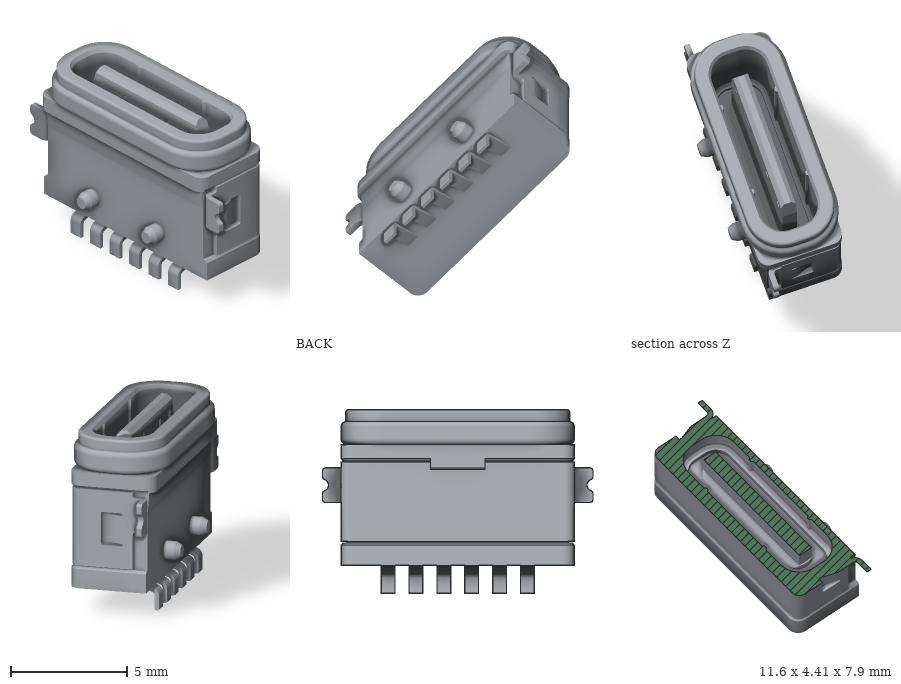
import cadquery as cq
import math

base_height = 0.97
flange_bottom = 4.48
flange_top = 5.19
nose_top = 6.69
pin_bottom = -1.21

block_half_width = 5.02
block_back = 1.91
block_front = -1.56
block_corner_radius = 0.5
block_edge_chamfer = 0.1

ring_half_width = 5.02
ring_half_depth = 2.13
ring_corner_radius = 1.79
ring_height = 1.0
ring_edge_radius = 0.25
ring_stand_out = 0.2
groove_depth = 0.06
nose_edge_radius = 0.12

shell_thickness = 0.25
shell_bottom = 1.02
shell_top = 4.45
shell_back = 1.84
shell_front = -0.97
shell_corner_radius = 0.41
notch_corner_radius = 0.12

tab_tip = 5.82
tab_front = -1.61
tab_height = 1.5
tab_middle = 3.45
tab_bend_radius = 0.14
tab_corner_radius = 0.14
tab_notch_radius = 0.26

window_front = -0.51
window_back = 0.47
window_bottom = 2.0
window_top = 3.5
window_corner_radius = 0.1
latch_hinge = -0.37
latch_free_edge = 0.29
latch_slot = 0.14
latch_set_in = 0.22

slope_top = -1.64
slope_bottom_height = 3.5
lug_half_width = 1.16
lug_bottom = 4.19
lug_slope_height = 0.07

mouth_half_width = 4.26
mouth_half_depth = 1.36
mouth_corner_radius = 1.08
mouth_chamfer_width = 0.1
mouth_chamfer_height = 0.17
wall_chamfer = 0.1
ledge_width = 0.1
ledge_height = 1.98
floor_height = 1.75

rib_spacing = 3.98
rib_base_width = 0.26
rib_crest_width = 0.14
rib_rise = 0.08

tongue_top = 6.63
tongue_half_width = 3.28
tongue_half_depth = 0.34
tongue_tip_half_depth = 0.14
tongue_edge_height = 0.21
tongue_tip_half_width = 3.03
tongue_end_height = 0.93
foot_half_width = 3.35
foot_half_depth = 0.6
foot_corner_radius = 0.5

opening_bottom = 5.67
recess_positions = (-2.72, -1.25)
recess_width = 0.26
recess_top = 6.05
recess_depth = 0.09
contact_top = 5.96
contact_set_back = 0.01
through_positions = (1.26, 2.68)
through_width = 0.3
through_top = 6.0

peg_spacing = 3.98
peg_height = 1.14
peg_radius = 0.41
peg_tip_radius = 0.27
peg_cone_start = -2.01
peg_tip = -2.28

pin_count = 6
pin_pitch = 1.2
pin_width = 0.6
pin_thickness = 0.19
pin_front = -1.63
pin_bend_height = -0.55
pin_bend_radius = 0.34
pin_slope_angle = 20.0
pin_tip_radius = 0.03
pin_embedment = 0.35

nose_half_width = ring_half_width - ring_stand_out
nose_half_depth = ring_half_depth - ring_stand_out
nose_corner_radius = ring_corner_radius - ring_stand_out
ring_inset = ring_stand_out + groove_depth
core_half_width = block_half_width - shell_thickness
core_back = shell_back - shell_thickness
wall_half_width = mouth_half_width - mouth_chamfer_width
wall_half_depth = mouth_half_depth - mouth_chamfer_width
wall_corner_radius = mouth_corner_radius - mouth_chamfer_width
lower_inset = wall_chamfer + ledge_width
mouth_taper = math.degrees(math.atan2(mouth_chamfer_width, mouth_chamfer_height))


def rounded_prism(half_width, half_depth, radius, bottom, top):
    """Upright rounded rectangle centred on the socket axis."""
    return (
        cq.Workplane("XY", origin=(0, 0, bottom))
        .rect(2 * half_width, 2 * half_depth)
        .extrude(top - bottom)
        .edges("|Z")
        .fillet(radius)
    )


def block(x_min, x_max, y_min, y_max, z_min, z_max):
    """Plain box given by its limits."""
    size = (x_max - x_min, y_max - y_min, z_max - z_min)
    return cq.Workplane("XY").box(*size, centered=False).translate((x_min, y_min, z_min))


def side_prism(points, half_width):
    """Outline of (Y, Z) points extruded to both sides of the middle plane."""
    return cq.Workplane("YZ").polyline(points).close().extrude(half_width, both=True)


def both_sides(left):
    """A left-hand feature together with its mirror image on the right."""
    return left.union(left.mirror("YZ"))


def make_seal_ring():
    top = flange_top + ring_height
    ring = rounded_prism(ring_half_width, ring_half_depth, ring_corner_radius, flange_top, top)
    ring = ring.faces("<Z or >Z").edges().fillet(ring_edge_radius)
    return ring.cut(groove_core(flange_top, top))


def groove_core(bottom, top):
    """Solid inside the seal groove."""
    return rounded_prism(
        ring_half_width - ring_inset,
        ring_half_depth - ring_inset,
        ring_corner_radius - ring_inset,
        bottom,
        top,
    )


def make_nose():
    groove_top = flange_top + ring_height
    lip = rounded_prism(nose_half_width, nose_half_depth, nose_corner_radius, groove_top, nose_top)
    lip = lip.faces(">Z").edges().fillet(nose_edge_radius)
    return lip.union(groove_core(flange_top, groove_top))


def make_flange():
    """Flange whose lower edge is chamfered except along its front strip."""
    plain = rounded_prism(
        block_half_width, block_back, block_corner_radius, flange_bottom, flange_top
    )
    chamfered = plain.faces("<Z").edges().chamfer(block_edge_chamfer)
    front_strip = block(
        -block_half_width, block_half_width, -block_back, slope_top, flange_bottom, flange_top
    )
    return chamfered.union(plain.intersect(front_strip))


def make_base():
    base = block(-block_half_width, block_half_width, block_front, block_back, 0, base_height)
    base = base.edges("|Z and >Y").fillet(block_corner_radius)
    return base.faces(">Z").edges("not <Y").chamfer(block_edge_chamfer)


def make_core():
    core = block(-core_half_width, core_half_width, block_front, core_back, 0, flange_bottom)
    core = core.edges("|Z and >Y").fillet(shell_corner_radius - shell_thickness)
    slope = side_prism(
        [
            (block_front, slope_bottom_height),
            (slope_top, flange_bottom),
            (block_front, flange_bottom),
        ],
        core_half_width,
    )
    lug = side_prism(
        [
            (core_back, flange_bottom + block_edge_chamfer),
            (block_back, flange_bottom + block_edge_chamfer),
            (block_back, lug_bottom),
            (shell_back, lug_bottom - lug_slope_height),
            (core_back, lug_bottom - lug_slope_height),
        ],
        lug_half_width,
    )
    return core.union(slope).union(lug)


def make_shell_wrap():
    """Sheet around the back and both sides of the core."""
    wrap = block(
        -block_half_width, block_half_width, shell_front, shell_back, shell_bottom, shell_top
    )
    wrap = wrap.edges("|Z and >Y").fillet(shell_corner_radius)
    inside = block(
        -core_half_width, core_half_width, shell_front, core_back, shell_bottom, shell_top
    )
    inside = inside.edges("|Z and >Y").fillet(shell_corner_radius - shell_thickness)
    return wrap.cut(inside)


def make_left_tab():
    """Tab that runs forward from the left shell side and bends outward."""
    bottom = tab_middle - tab_height / 2
    outer_face = -block_half_width
    inner_face = -core_half_width
    bend_x = outer_face - tab_bend_radius
    tab_back = tab_front + shell_thickness
    bend_y = tab_back + tab_bend_radius
    diagonal = math.sqrt(0.5)
    convex_reach = (tab_bend_radius + shell_thickness) * diagonal
    concave_reach = tab_bend_radius * diagonal
    strip = (
        cq.Workplane("XY", origin=(0, 0, bottom))
        .moveTo(outer_face, shell_front)
        .lineTo(outer_face, bend_y)
        .threePointArc((bend_x + concave_reach, bend_y - concave_reach), (bend_x, tab_back))
        .lineTo(-tab_tip, tab_back)
        .lineTo(-tab_tip, tab_front)
        .lineTo(bend_x, tab_front)
        .threePointArc((bend_x + convex_reach, bend_y - convex_reach), (inner_face, bend_y))
        .lineTo(inner_face, shell_front)
        .close()
        .extrude(tab_height)
    )
    notch = (
        cq.Workplane("XZ", origin=(-tab_tip, tab_back, tab_middle))
        .circle(tab_notch_radius)
        .extrude(shell_thickness)
    )
    return strip.cut(notch).edges("|Y and <X").fillet(tab_corner_radius)


def make_left_tab_webs():
    """Rounded inner corners between the left tab and the front edge of the shell."""
    webs = cq.Workplane("XY")
    for direction in (-1, 1):
        root = tab_middle + direction * tab_height / 2
        round_y = shell_front - notch_corner_radius
        round_z = root + direction * notch_corner_radius
        reach = notch_corner_radius * math.sqrt(0.5)
        web = (
            cq.Workplane("YZ", origin=(-block_half_width, 0, 0))
            .moveTo(shell_front, root)
            .lineTo(round_y, root)
            .threePointArc((round_y + reach, round_z - direction * reach), (shell_front, round_z))
            .close()
            .extrude(shell_thickness)
        )
        webs = webs.add(web)
    return webs.combine()


def make_left_window():
    """Opening through the left shell side around the latch."""
    window = block(
        -block_half_width, -core_half_width, window_front, window_back, window_bottom, window_top
    )
    return window.edges("|X").fillet(window_corner_radius)


def make_left_latch():
    """Latch that slopes inward from its hinge to its free edge."""
    outer_face = -block_half_width
    inner_face = -core_half_width
    return (
        cq.Workplane("XY", origin=(0, 0, window_bottom + latch_slot))
        .polyline(
            [
                (inner_face, window_front),
                (outer_face, window_front),
                (outer_face, latch_hinge),
                (outer_face + latch_set_in, latch_free_edge),
                (inner_face, latch_free_edge),
            ]
        )
        .close()
        .extrude(window_top - window_bottom - 2 * latch_slot)
    )


def make_shell():
    shell = make_shell_wrap().cut(both_sides(make_left_window()))
    for left_feature in (make_left_latch(), make_left_tab(), make_left_tab_webs()):
        shell = shell.union(both_sides(left_feature))
    return shell


def make_socket():
    """Space inside the socket, with a chamfered mouth and a ledge above the floor."""
    mouth_outline = (
        cq.Sketch()
        .rect(2 * mouth_half_width, 2 * mouth_half_depth)
        .vertices()
        .fillet(mouth_corner_radius)
    )
    mouth = (
        cq.Workplane("XY", origin=(0, 0, nose_top))
        .placeSketch(mouth_outline)
        .extrude(-mouth_chamfer_height, taper=mouth_taper)
    )
    upper = rounded_prism(
        wall_half_width, wall_half_depth, wall_corner_radius, ledge_height, nose_top
    )
    upper = upper.faces("<Z").edges().chamfer(wall_chamfer)
    lower = rounded_prism(
        wall_half_width - lower_inset,
        wall_half_depth - lower_inset,
        wall_corner_radius - lower_inset,
        floor_height,
        nose_top,
    )
    return upper.union(lower).union(mouth).cut(make_ribs())


def make_ribs():
    """Tapered ribs on the front and back socket walls."""
    ribs = cq.Workplane("XY")
    for x in (-rib_spacing / 2, rib_spacing / 2):
        for side in (-1, 1):
            rib = (
                cq.Workplane("XY", origin=(x, 0, ledge_height))
                .polyline(
                    [
                        (-rib_base_width / 2, side * wall_half_depth),
                        (rib_base_width / 2, side * wall_half_depth),
                        (rib_crest_width / 2, side * (wall_half_depth - rib_rise)),
                        (-rib_crest_width / 2, side * (wall_half_depth - rib_rise)),
                    ]
                )
                .close()
                .extrude(nose_top - mouth_chamfer_height - ledge_height)
            )
            ribs = ribs.add(rib)
    return ribs.combine()


def make_tongue():
    """Blade with a tapered tip, on a foot that slopes out to the socket floor."""
    edge_bottom = tongue_top - tongue_edge_height
    blade = side_prism(
        [
            (-tongue_half_depth, floor_height),
            (-tongue_half_depth, edge_bottom),
            (-tongue_tip_half_depth, tongue_top),
            (tongue_tip_half_depth, tongue_top),
            (tongue_half_depth, edge_bottom),
            (tongue_half_depth, floor_height),
        ],
        tongue_half_width,
    )
    end_bottom = tongue_top - tongue_end_height
    end_taper = (
        cq.Workplane("XZ")
        .polyline(
            [
                (-tongue_half_width, floor_height),
                (-tongue_half_width, end_bottom),
                (-tongue_tip_half_width, tongue_top),
                (tongue_tip_half_width, tongue_top),
                (tongue_half_width, end_bottom),
                (tongue_half_width, floor_height),
            ]
        )
        .close()
        .extrude(tongue_half_depth, both=True)
    )
    foot_rise = foot_half_depth - tongue_half_depth
    foot = rounded_prism(
        foot_half_width,
        foot_half_depth,
        foot_corner_radius,
        floor_height,
        floor_height + foot_rise,
    )
    foot_slope = side_prism(
        [
            (-foot_half_depth, floor_height),
            (-tongue_half_depth, floor_height + foot_rise),
            (tongue_half_depth, floor_height + foot_rise),
            (foot_half_depth, floor_height),
        ],
        foot_half_width,
    )
    tongue = blade.intersect(end_taper).union(foot.intersect(foot_slope))
    return tongue.cut(make_contact_openings())


def make_contact_openings():
    """Contact recesses in the front of the tongue and openings right through it."""
    front = -tongue_half_depth
    openings = cq.Workplane("XY")
    for x in recess_positions:
        recess = side_prism(
            [
                (front, opening_bottom),
                (front, recess_top),
                (front + recess_depth, recess_top),
                (front + recess_depth, contact_top),
                (front + contact_set_back, contact_top),
                (front + contact_set_back, opening_bottom),
            ],
            recess_width / 2,
        )
        openings = openings.add(recess.translate((x, 0, 0)))
    for x in through_positions:
        x_min = x - through_width / 2
        x_max = x + through_width / 2
        through = block(x_min, x_max, front, -front, opening_bottom, through_top)
        openings = openings.add(through)
    return openings.combine()


def make_peg(x):
    """Round peg on the front face with a conical tip."""
    return (
        cq.Workplane("YZ", origin=(x, 0, peg_height))
        .polyline(
            [
                (block_front, 0),
                (block_front, peg_radius),
                (peg_cone_start, peg_radius),
                (peg_tip, peg_tip_radius),
                (peg_tip, 0),
            ]
        )
        .close()
        .revolve(360, (0, 0, 0), (1, 0, 0))
    )


def make_pin(x):
    """Bent strip that slants forward out of the base and then turns straight down."""
    slope = math.radians(pin_slope_angle)
    bend_y = pin_front + pin_bend_radius
    inner_radius = pin_bend_radius - pin_thickness

    def on_bend(radius, angle):
        """Point on the bend at an angle above the -Y direction."""
        return (bend_y - radius * math.cos(angle), pin_bend_height + radius * math.sin(angle))

    bend_angle = math.pi / 2 - slope
    exposed_length = -on_bend(inner_radius, bend_angle)[1] / math.sin(slope)
    slant_length = exposed_length + pin_embedment

    def slant_end(radius):
        y, z = on_bend(radius, bend_angle)
        return (y + slant_length * math.cos(slope), z + slant_length * math.sin(slope))

    return (
        cq.Workplane("YZ", origin=(x, 0, 0))
        .moveTo(pin_front, pin_bottom)
        .lineTo(pin_front, pin_bend_height)
        .threePointArc(on_bend(pin_bend_radius, bend_angle / 2), on_bend(pin_bend_radius, bend_angle))
        .lineTo(*slant_end(pin_bend_radius))
        .lineTo(*slant_end(inner_radius))
        .lineTo(*on_bend(inner_radius, bend_angle))
        .threePointArc(on_bend(inner_radius, bend_angle / 2), on_bend(inner_radius, 0))
        .lineTo(pin_front + pin_thickness, pin_bottom)
        .close()
        .extrude(pin_width / 2, both=True)
        .faces("<Z")
        .edges("|X")
        .fillet(pin_tip_radius)
    )


def make_connector():
    connector = make_core().union(make_base()).union(make_flange()).union(make_nose())
    connector = connector.union(make_shell())
    connector = connector.cut(make_socket()).union(make_tongue())
    for x in (-peg_spacing / 2, peg_spacing / 2):
        connector = connector.union(make_peg(x))
    for index in range(pin_count):
        connector = connector.union(make_pin((index - (pin_count - 1) / 2) * pin_pitch))
    return connector


connector = make_connector()
seal_ring = make_seal_ring()

result = cq.Compound.makeCompound([connector.solids().val(), seal_ring.solids().val()])